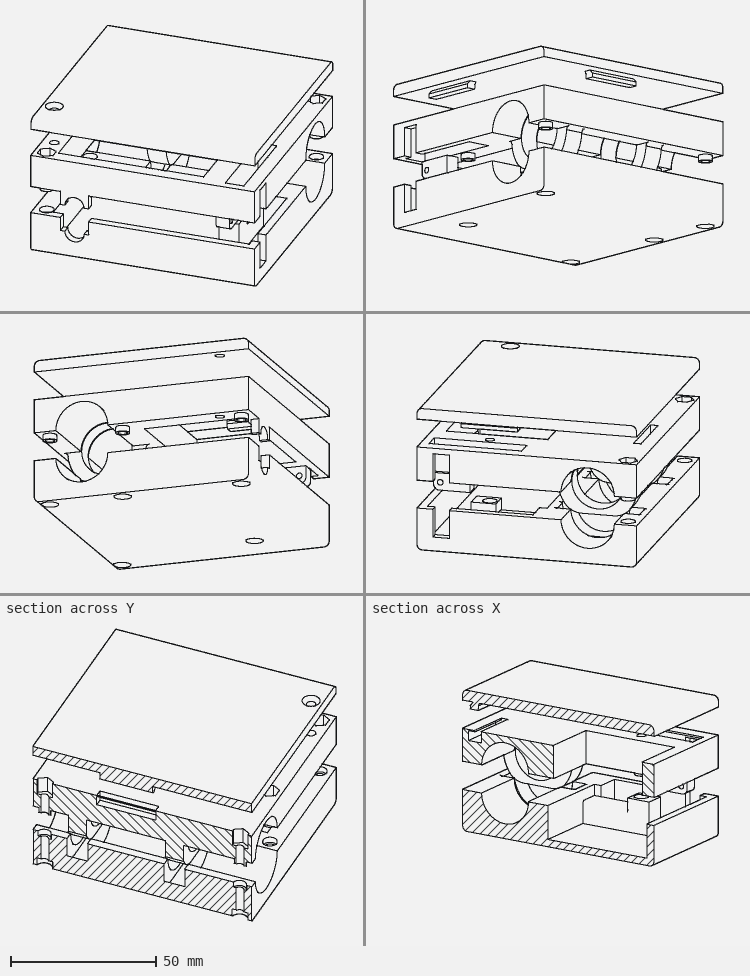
import cadquery as cq

LENGTH = 82.0
WIDTH = 78.4
BASE_HEIGHT = 15.0
FRAME_HEIGHT = 12.0
LID_HEIGHT = 4.0
EXPLODE_GAP = 10.0
LID_SHIFT = 0.1
EDGE_RADIUS = 2.0
WALL = 3.0

FRAME_BOTTOM = BASE_HEIGHT + EXPLODE_GAP
FRAME_TOP = FRAME_BOTTOM + FRAME_HEIGHT
LID_BOTTOM = FRAME_TOP + EXPLODE_GAP

TUBE_Y = 60.95
CHANNEL_RADIUS = 9.5
RING_BORE_RADIUS = 9.25
RING_RADIUS = 14.3
RING_CORNER_RADIUS = 7.3
RING_ROOT_RADIUS = 1.2
RING_FLAT_DEPTH = RING_BORE_RADIUS + 2.0
RING_WIDTH = 7.0
RING_STARTS = (25.5, 61.9)
RING_CLEARANCE = 0.3

SCREW_DIAMETER = 3.2
PEG_DIAMETER = 4.8
PEG_HEIGHT = 2.0
PEG_RECESS_DIAMETER = 5.0
PEG_RECESS_DEPTH = 2.2
HEAD_DIAMETER = 6.0
HEAD_DEPTH = 3.0
NUT_CORNER_DIAMETER = 6.6
NUT_DEPTH = 6.0
SCREW_INSET_X = 4.4
SCREW_INSET_Y = 4.2
OUTER_SCREWS = [
    (SCREW_INSET_X, SCREW_INSET_Y),
    (SCREW_INSET_X, 47.6),
    (SCREW_INSET_X, WIDTH - SCREW_INSET_Y),
    (LENGTH - SCREW_INSET_X, WIDTH - SCREW_INSET_Y),
]
INNER_SCREW = (67.2, 22.0)
SCREWS = OUTER_SCREWS + [INNER_SCREW]
LID_SCREW = (4.3, 12.0)
LID_SCREW_HEAD_DIAMETER = 6.2
COUNTERSINK_ANGLE = 90

CABLE_X = 16.05
CABLE_RADIUS = 3.5
TONGUE_WIDTH = 10.3
TONGUE_DROP = 5.0

FLOOR = 2.8
POCKET_LEFT = 7.2
POCKET_BACK = 43.3
RIGHT_INNER = LENGTH - WALL
BOSS_LEFT = 63.1
BOSS_WIDTH = 7.3
BOSS_FRONT = 16.2
BOSS_BACK = 25.0
RIGHT_POCKET_BACK = 40.6
LEDGE_TOP = 11.0
LEDGE_ROUND = 1.0

PORT_FRONT = 5.7
PORT_BACK = 11.6
PORT_BOTTOM = 5.0
PORT_TOP = FRAME_BOTTOM + 10.0

WINDOW_LEFT = 8.4
WINDOW_RIGHT = 61.6
WINDOW_FRONT = 4.9
WINDOW_BACK = 41.1
LIP = 0.6
SIDE_SLOT_LEFT = 70.2
SIDE_SLOT_RIGHT = 77.0
SIDE_SLOT_BACK = 36.0
BACK_SLOT_FRONT = 70.8
BACK_SLOT_BACK = 73.4
BACK_SLOT_DEPTH = 4.0
BACK_UNDERCUT = 75.8
SLOT_END_CLEARANCE = 1.0

BRACKET_LEFT = 66.8
BRACKET_WIDTH = 4.9
BRACKET_FRONT = 3.1
BRACKET_LENGTH = 13.1
BRACKET_DROP = 6.2
BRACKET_HOLE_DIAMETER = 2.0
BRACKET_HOLE_Y = 5.5
BRACKET_HOLE_DROP = 3.4

CLIP_LENGTH = 20.0
CLIP_DEPTH = 2.7
CLIP_EDGE = 3.1
CLIP_STEM = 2.6
CLIP_THICKNESS = 3.9
CLIP_SLOPE = 1.3
CLIP_ROOT_DROP = 0.9
CLIP_ROOT_FLARE = 0.4
CLIP_FOOT_BEVEL = 0.2
CLIP_FOOT_DROP = 1.75
BACK_CLIP_X = 47.1
SIDE_CLIP_Y = 25.0


def box(x0, x1, y0, y1, z0, z1):
    return cq.Workplane("XY").box(x1 - x0, y1 - y0, z1 - z0, centered=False).translate((x0, y0, z0))


def post(x, y, diameter, z0, z1):
    return cq.Workplane("XY", origin=(x, y, z0)).circle(diameter / 2).extrude(z1 - z0)


def x_cylinder(radius, x0, x1, y, z):
    return cq.Workplane("YZ", origin=(x0, y, z)).circle(radius).extrude(x1 - x0)


def y_cylinder(radius, y0, y1, x, z):
    return cq.Workplane("XZ", origin=(x, y0, z)).circle(radius).extrude(y0 - y1)


def ring_blank(x0, width, radius, flat_depth, axis_z):
    """Lower half of a clamp ring before boring, flattened underneath with rounded corners."""
    disc = x_cylinder(radius, x0, x0 + width, TUBE_Y, axis_z)
    keep = box(x0, x0 + width, TUBE_Y - radius, TUBE_Y + radius, axis_z - flat_depth, axis_z)
    return disc.intersect(keep).edges("|X and <Z").fillet(RING_CORNER_RADIUS)


def ring_root(x0, side):
    """Concave fillet between the outside of a ring and the frame; side is -1 or +1 along Y."""
    inner = TUBE_Y + side * RING_BORE_RADIUS
    wall = TUBE_Y + side * RING_RADIUS
    tip = wall + side * RING_ROOT_RADIUS
    bottom = FRAME_BOTTOM - RING_ROOT_RADIUS
    x1 = x0 + RING_WIDTH
    block = box(x0, x1, min(inner, tip), max(inner, tip), bottom, FRAME_BOTTOM)
    return block.cut(x_cylinder(RING_ROOT_RADIUS, x0, x1, tip, bottom))


def make_base():
    base = box(0, LENGTH, 0, WIDTH, 0, BASE_HEIGHT).edges("|X and <Z").fillet(EDGE_RADIUS)

    boss_right = BOSS_LEFT + BOSS_WIDTH
    pocket = box(POCKET_LEFT, RIGHT_INNER, WALL, POCKET_BACK, FLOOR, BASE_HEIGHT)
    boss = box(BOSS_LEFT, boss_right, BOSS_FRONT, BOSS_BACK, FLOOR, BASE_HEIGHT)
    ledge = box(BOSS_LEFT, boss_right, BOSS_BACK, POCKET_BACK, FLOOR, LEDGE_TOP)
    ledge = ledge.edges("|Y and <X and >Z").fillet(LEDGE_ROUND)
    right_block = box(boss_right, RIGHT_INNER, RIGHT_POCKET_BACK, POCKET_BACK, FLOOR, BASE_HEIGHT)
    base = base.cut(pocket.cut(boss).cut(ledge).cut(right_block))

    base = base.cut(x_cylinder(CHANNEL_RADIUS, 0, LENGTH, TUBE_Y, BASE_HEIGHT))
    for start in RING_STARTS:
        groove = ring_blank(
            start - RING_CLEARANCE,
            RING_WIDTH + 2 * RING_CLEARANCE,
            RING_RADIUS + RING_CLEARANCE,
            RING_FLAT_DEPTH + RING_CLEARANCE,
            BASE_HEIGHT,
        )
        base = base.cut(groove)
        for side in (-1, 1):
            base = base.cut(ring_root(start, side).translate((0, 0, -EXPLODE_GAP)))

    seat = BASE_HEIGHT - TONGUE_DROP
    half = TONGUE_WIDTH / 2
    base = base.cut(box(CABLE_X - half, CABLE_X + half, 0, WALL, seat, BASE_HEIGHT))
    base = base.cut(y_cylinder(CABLE_RADIUS, 0, WALL, CABLE_X, seat))
    base = base.cut(box(RIGHT_INNER, LENGTH, PORT_FRONT, PORT_BACK, PORT_BOTTOM, BASE_HEIGHT))

    for x, y in SCREWS:
        base = base.cut(post(x, y, SCREW_DIAMETER, 0, BASE_HEIGHT))
        base = base.cut(post(x, y, PEG_RECESS_DIAMETER, BASE_HEIGHT - PEG_RECESS_DEPTH, BASE_HEIGHT))
        base = base.cut(post(x, y, HEAD_DIAMETER, 0, HEAD_DEPTH))
    return base


def make_bracket():
    right = BRACKET_LEFT + BRACKET_WIDTH
    back = BRACKET_FRONT + BRACKET_LENGTH
    bottom = FRAME_BOTTOM - BRACKET_DROP
    bracket = box(BRACKET_LEFT, right, BRACKET_FRONT, back, bottom, FRAME_BOTTOM)
    bracket = bracket.edges("|X and <Y and <Z").fillet(EDGE_RADIUS)
    hole_z = FRAME_BOTTOM - BRACKET_HOLE_DROP
    return bracket.cut(x_cylinder(BRACKET_HOLE_DIAMETER / 2, BRACKET_LEFT, right, BRACKET_HOLE_Y, hole_z))


def make_frame():
    frame = box(0, LENGTH, 0, WIDTH, FRAME_BOTTOM, FRAME_TOP)
    lip_bottom = FRAME_TOP - LIP

    frame = frame.cut(box(WINDOW_LEFT, WINDOW_RIGHT, WINDOW_FRONT, WINDOW_BACK, FRAME_BOTTOM, FRAME_TOP))

    frame = frame.cut(box(SIDE_SLOT_LEFT, SIDE_SLOT_RIGHT, WALL, SIDE_SLOT_BACK, FRAME_BOTTOM, FRAME_TOP))
    frame = frame.cut(box(SIDE_SLOT_LEFT, RIGHT_INNER, WALL, SIDE_SLOT_BACK, FRAME_BOTTOM, lip_bottom))
    half = CLIP_LENGTH / 2 + SLOT_END_CLEARANCE
    left, right = BACK_CLIP_X - half, BACK_CLIP_X + half
    slot_bottom = FRAME_TOP - BACK_SLOT_DEPTH
    frame = frame.cut(box(left, right, BACK_SLOT_FRONT, BACK_SLOT_BACK, slot_bottom, FRAME_TOP))
    frame = frame.cut(box(left, right, BACK_SLOT_FRONT, BACK_UNDERCUT, slot_bottom, lip_bottom))
    frame = frame.cut(box(RIGHT_INNER, LENGTH, PORT_FRONT, PORT_BACK, FRAME_BOTTOM, PORT_TOP))

    channel = x_cylinder(CHANNEL_RADIUS, 0, LENGTH, TUBE_Y, FRAME_BOTTOM)
    for start in RING_STARTS:
        end = start + RING_WIDTH
        narrowing = x_cylinder(CHANNEL_RADIUS, start, end, TUBE_Y, FRAME_BOTTOM)
        narrowing = narrowing.cut(x_cylinder(RING_BORE_RADIUS, start, end, TUBE_Y, FRAME_BOTTOM))
        channel = channel.cut(narrowing)
        frame = frame.union(ring_blank(start, RING_WIDTH, RING_RADIUS, RING_FLAT_DEPTH, FRAME_BOTTOM))
        for side in (-1, 1):
            frame = frame.union(ring_root(start, side))
    frame = frame.cut(channel)

    seat = FRAME_BOTTOM - TONGUE_DROP
    half = TONGUE_WIDTH / 2
    tongue = box(CABLE_X - half, CABLE_X + half, 0, WALL, seat, FRAME_BOTTOM)
    frame = frame.union(tongue.cut(y_cylinder(CABLE_RADIUS, 0, WALL, CABLE_X, seat)))
    frame = frame.union(make_bracket())

    peg_bottom = FRAME_BOTTOM - PEG_HEIGHT
    for x, y in SCREWS:
        frame = frame.union(post(x, y, PEG_DIAMETER, peg_bottom, FRAME_BOTTOM))
        frame = frame.cut(post(x, y, SCREW_DIAMETER, peg_bottom, FRAME_TOP))
    for x, y in OUTER_SCREWS:
        nut = cq.Workplane("XY").polygon(6, NUT_CORNER_DIAMETER).extrude(NUT_DEPTH)
        nut = nut.rotate((0, 0, 0), (0, 0, 1), 90)
        frame = frame.cut(nut.translate((x, y, FRAME_TOP - NUT_DEPTH)))
    return frame.cut(post(*LID_SCREW, SCREW_DIAMETER, FRAME_BOTTOM, FRAME_TOP))


def clip_profile(plane, nose, start):
    """Hook hanging under the lid; nose is the position of its outermost point."""
    back = nose - CLIP_THICKNESS
    return (
        cq.Workplane(plane, origin=start)
        .moveTo(back, LID_BOTTOM)
        .lineTo(back + CLIP_STEM, LID_BOTTOM)
        .lineTo(nose, LID_BOTTOM - CLIP_SLOPE)
        .lineTo(nose, LID_BOTTOM - CLIP_DEPTH)
        .lineTo(back + CLIP_ROOT_FLARE + CLIP_FOOT_BEVEL, LID_BOTTOM - CLIP_DEPTH)
        .lineTo(back + CLIP_ROOT_FLARE, LID_BOTTOM - CLIP_FOOT_DROP)
        .lineTo(back + CLIP_ROOT_FLARE, LID_BOTTOM - CLIP_ROOT_DROP)
        .close()
    )


def make_lid():
    lid_right = LENGTH + LID_SHIFT
    lid = box(LID_SHIFT, lid_right, 0, WIDTH, LID_BOTTOM, LID_BOTTOM + LID_HEIGHT)
    lid = lid.edges("|X and >Z").fillet(EDGE_RADIUS)
    side_start = (0, SIDE_CLIP_Y + CLIP_LENGTH / 2, 0)
    rear_start = (BACK_CLIP_X - CLIP_LENGTH / 2, 0, 0)
    side = clip_profile("XZ", lid_right - CLIP_EDGE, side_start).extrude(CLIP_LENGTH)
    rear = clip_profile("YZ", WIDTH - CLIP_EDGE, rear_start).extrude(CLIP_LENGTH)
    lid = lid.union(side).union(rear)
    return (
        lid.faces(">Z").workplane(origin=(*LID_SCREW, 0))
        .cskHole(SCREW_DIAMETER, LID_SCREW_HEAD_DIAMETER, COUNTERSINK_ANGLE)
    )


base = make_base()
frame = make_frame()
lid = make_lid()
result = cq.Compound.makeCompound([base.val(), frame.val(), lid.val()])